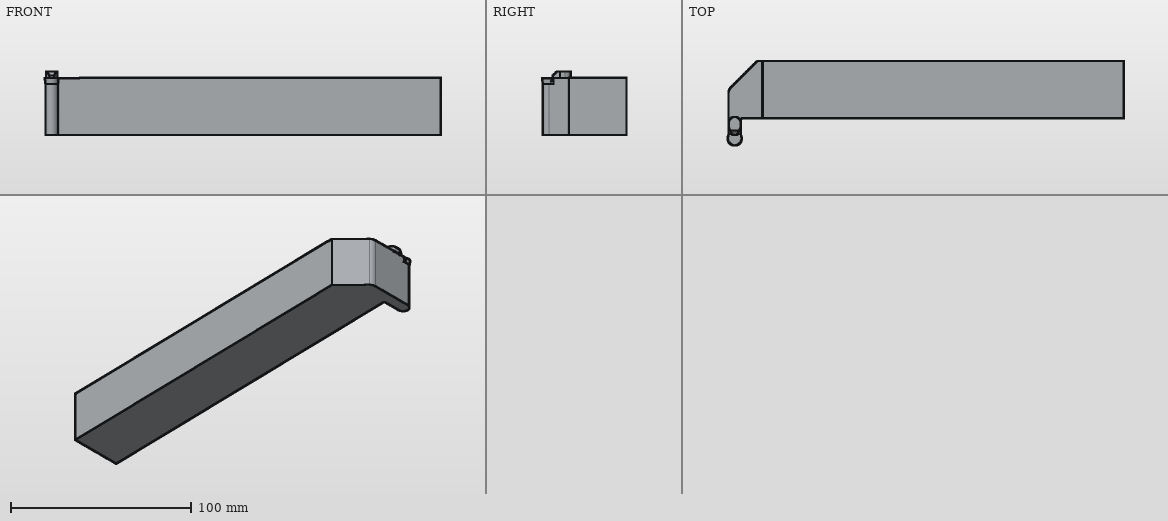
import cadquery as cq

length = 220.0
shank_size = 32.0
overall_width = 47.0
shank_front = overall_width - shank_size
head_chamfer = 16.0
head_corner_radius = 4.6
head_length = 19.8
head_drop = 0.2
ramp_length = 0.7
head_top = shank_size - head_drop

insert_radius = 4.0
insert_base_radius = 3.5
insert_thickness = 3.3
insert_back = 6.5
insert_floor = head_top - insert_thickness

blade_radius = insert_base_radius
nose_x = insert_radius
nose_y = insert_radius
blade_left = nose_x - blade_radius
blade_right = nose_x + blade_radius
blade_fillet = 0.7

clamp_top = 35.5
clamp_radius = 3.3
clamp_back = 16.0
clamp_taper_start = 10.1
clamp_tip = 6.0
clamp_tip_half_width = 1.3
clamp_bevel = 2.5


def make_seat():
    """Open space above the blade that receives the insert."""
    return (
        cq.Workplane("XY", origin=(0, 0, insert_floor))
        .rect(2 * insert_radius, insert_back, centered=False)
        .extrude(insert_thickness)
    )


def make_insert():
    """Tapered round nose with a straight tail, ending flat at the back of the seat."""
    nose = (
        cq.Workplane("XY", origin=(nose_x, nose_y, insert_floor))
        .circle(insert_base_radius)
        .workplane(offset=insert_thickness)
        .circle(insert_radius)
        .loft(combine=True)
    )
    tail = (
        cq.Workplane("XY", origin=(blade_left, nose_y, insert_floor))
        .rect(2 * blade_radius, insert_back - nose_y, centered=False)
        .extrude(insert_thickness)
    )
    return nose.union(tail).intersect(make_seat())


def make_bar():
    """Shank, chamfered head and blade as one extruded outline."""
    bar = (
        cq.Workplane("XY")
        .moveTo(blade_left, nose_y)
        .threePointArc((nose_x, nose_y - blade_radius), (blade_right, nose_y))
        .lineTo(blade_right, shank_front)
        .lineTo(length, shank_front)
        .lineTo(length, overall_width)
        .lineTo(blade_left + head_chamfer, overall_width)
        .lineTo(blade_left, overall_width - head_chamfer)
        .close()
        .extrude(shank_size)
    )
    head_corner = cq.selectors.NearestToPointSelector(
        (blade_left, overall_width - head_chamfer, shank_size / 2)
    )
    inner_corner = cq.selectors.NearestToPointSelector((blade_right, shank_front, shank_size / 2))
    bar = bar.edges(head_corner).fillet(head_corner_radius)
    return bar.edges(inner_corner).fillet(blade_fillet)


def make_head_relief():
    """Thin layer removed from the head top, ending in a ramp up to the shank."""
    return (
        cq.Workplane("XZ")
        .moveTo(0, head_top)
        .lineTo(head_length - ramp_length, head_top)
        .lineTo(head_length, shank_size)
        .lineTo(0, shank_size)
        .close()
        .extrude(-overall_width)
    )


def make_clamp():
    """Clamp with a round back, tapered sides and a bevelled tip."""
    back_centre = clamp_back - clamp_radius
    clamp = (
        cq.Workplane("XY", origin=(nose_x, 0, head_top))
        .moveTo(clamp_radius, back_centre)
        .threePointArc((0, clamp_back), (-clamp_radius, back_centre))
        .lineTo(-clamp_radius, clamp_taper_start)
        .lineTo(-clamp_tip_half_width, clamp_tip)
        .lineTo(clamp_tip_half_width, clamp_tip)
        .lineTo(clamp_radius, clamp_taper_start)
        .close()
        .extrude(clamp_top - head_top)
    )
    return clamp.faces("<Y").edges(">Z").chamfer(clamp_bevel)


insert = make_insert()
holder = make_bar().cut(make_head_relief()).cut(make_seat()).union(make_clamp())
result = cq.Compound.makeCompound([holder.val(), insert.val()])